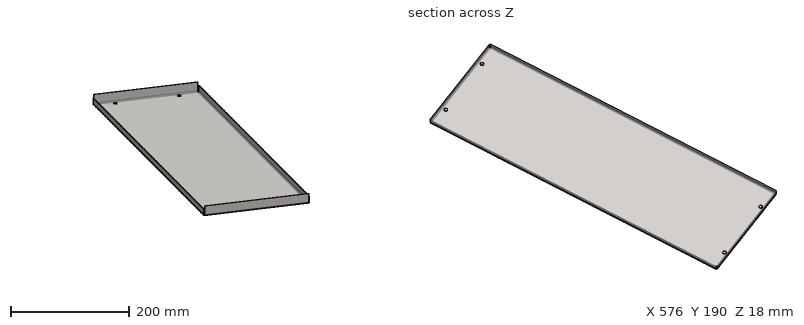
import cadquery as cq

length = 576.0
width = 190.0
end_height = 18.0
side_height = 12.0

sheet = 1.0
inner_radius = 1.0
outer_radius = inner_radius + sheet
flange_inset = outer_radius

hole_diameter = 6.0
hole_spacing_x = 559.0
hole_spacing_y = 114.0


def folded_channel(plane, span, height, run):
    """Floor with two upturned flanges: span across the flanges, run along the bends."""
    outer = (
        cq.Workplane(plane)
        .rect(span, 2 * height)
        .extrude(run / 2, both=True)
        .translate((0, 0, height))
    )
    inner = (
        cq.Workplane(plane)
        .rect(span - 2 * sheet, 2 * height)
        .extrude(run / 2, both=True)
        .translate((0, 0, height + sheet))
    )
    bend_axis = "|Y" if plane == "XZ" else "|X"
    outer = outer.edges(bend_axis).edges("<Z").fillet(outer_radius)
    inner = inner.edges(bend_axis).edges("<Z").fillet(inner_radius)
    top_trim = (
        cq.Workplane("XY")
        .workplane(offset=height)
        .rect(2 * length, 2 * length)
        .extrude(2 * height)
    )
    return outer.cut(inner).cut(top_trim)


end_channel = folded_channel("XZ", length, end_height, width - 2 * flange_inset)
side_channel = folded_channel("YZ", width, side_height, length - 2 * flange_inset)

tray = end_channel.union(side_channel)

holes = (
    cq.Workplane("XY")
    .rect(hole_spacing_x, hole_spacing_y, forConstruction=True)
    .vertices()
    .circle(hole_diameter / 2)
    .extrude(sheet)
)

result = tray.cut(holes)